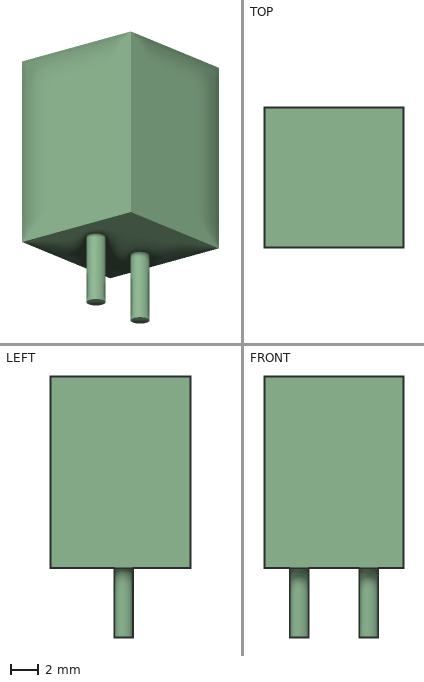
import cadquery as cq

HOUSING_LENGTH = 10.16
HOUSING_WIDTH = 10.25
TOTAL_HEIGHT = 19.1
PIN_LENGTH = 5.08
HOUSING_HEIGHT = TOTAL_HEIGHT - PIN_LENGTH

PIN_DIAMETER = 1.4
PIN_SPACING = HOUSING_LENGTH / 2
PIN_OFFSET_Y = -0.23


def make_housing():
    """Plain rectangular block standing on the plane Z = 0."""
    return cq.Workplane("XY").box(
        HOUSING_LENGTH, HOUSING_WIDTH, HOUSING_HEIGHT, centered=(True, True, False)
    )


def make_pin(x):
    """Round pin hanging from the underside of the housing."""
    return cq.Workplane("XY").center(x, PIN_OFFSET_Y).circle(PIN_DIAMETER / 2).extrude(-PIN_LENGTH)


housing = make_housing()
pins = [make_pin(side * PIN_SPACING / 2) for side in (-1, 1)]

result = cq.Compound.makeCompound([housing.val(), *[pin.val() for pin in pins]])